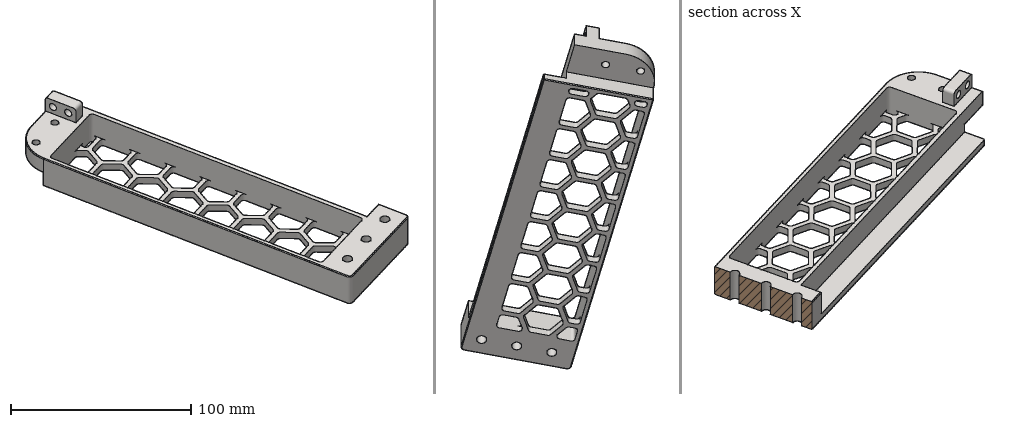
import cadquery as cq
import math

LENGTH = 220.0
WIDTH = 63.0
BODY_HEIGHT = 20.0
TOTAL_HEIGHT = 30.0

BODY_START = 20.0
TRAY_WIDTH = 50.0
BLOCK_START = 199.9
LEDGE_THICKNESS = 4.6
EDGE_CHAMFER = 0.53
END_CORNER_RADIUS = 2.5
TRAY_WALL = 2.6
POCKET_START = 22.9
POCKET_END = 199.5
POCKET_CORNER_RADIUS = 2.0

FLOOR_THICKNESS = LEDGE_THICKNESS
HEXAGON_SIDES = 6
HEXAGON_TURN = 180 / HEXAGON_SIDES
CELL_FLATS = 20.0
CELL_PITCH = 22.9
CELL_FILLET = POCKET_CORNER_RADIUS
MIDDLE_ROW_CELLS = 8
ROW_OFFSETS = (-1, 0, 1)
FIRST_CELL_X = 28.4
MIDDLE_ROW_Y = 22.9

EAR_BOTTOM = BODY_HEIGHT / 2
EAR_CORNER_RADIUS = 20.7
TAB_FRONT = 35.8
TAB_THICKNESS = 7.3
TAB_CORNER_RADIUS = 2.0

BLOCK_HOLE_COUNT = 3
BLOCK_HOLE_DIAMETER = 5.5
BLOCK_HOLE_SPACING = 20.0
BLOCK_HOLE_FIRST_Y = 13.0
EAR_HOLE_DIAMETER = 4.5
EAR_HOLE_X = 10.0
EAR_HOLE_YS = (10.0, 30.0)
TAB_HOLE_DIAMETER = 4.6
TAB_HOLE_SPACING = 10.0


def box(x0, x1, y0, y1, z0, z1):
    """Box given by its limits along each axis."""
    return cq.Workplane("XY").box(x1 - x0, y1 - y0, z1 - z0, centered=False).translate((x0, y0, z0))


def make_body():
    """Chamfered block with the space above the back ledge cut away."""
    body = box(BODY_START, LENGTH, 0, WIDTH, 0, BODY_HEIGHT)
    body = body.edges("|Z and >X").fillet(END_CORNER_RADIUS)
    body = body.edges("|Z and <X").chamfer(EDGE_CHAMFER)
    body = body.faces("<Z or >Z").edges().chamfer(EDGE_CHAMFER)
    above_ledge = box(BODY_START, BLOCK_START, TRAY_WIDTH, WIDTH, LEDGE_THICKNESS, BODY_HEIGHT)
    body = body.cut(above_ledge)
    block_edge = cq.selectors.BoxSelector(
        (BLOCK_START - EDGE_CHAMFER, TRAY_WIDTH, BODY_HEIGHT - EDGE_CHAMFER),
        (BLOCK_START + EDGE_CHAMFER, WIDTH, BODY_HEIGHT + EDGE_CHAMFER),
    )
    return body.edges(block_edge).edges("|Y").chamfer(EDGE_CHAMFER)


def make_ear():
    """Flat ear at the upper half of the body, with one large round corner."""
    ear = box(0, POCKET_START, 0, TRAY_WIDTH, EAR_BOTTOM, BODY_HEIGHT)
    ear = ear.edges("|Z and <X and <Y").fillet(EAR_CORNER_RADIUS)
    return ear.faces(">Z").edges("<X or <Y or %CIRCLE").chamfer(EDGE_CHAMFER)


def make_tab():
    """Upright tab on the ear with two cross holes."""
    tab = box(0, BODY_START, TAB_FRONT, TAB_FRONT + TAB_THICKNESS, EAR_BOTTOM, TOTAL_HEIGHT)
    tab = tab.edges("|Y and >Z").fillet(TAB_CORNER_RADIUS)
    hole_z = (BODY_HEIGHT + TOTAL_HEIGHT) / 2
    for side in (-1, 1):
        hole_x = (BODY_START + side * TAB_HOLE_SPACING) / 2
        hole = cq.Workplane("XZ", origin=(hole_x, WIDTH, hole_z)).circle(TAB_HOLE_DIAMETER / 2).extrude(WIDTH)
        tab = tab.cut(hole)
    return tab


def inside_of_tray(z0, z1):
    """Space between the tray walls, from one height to another."""
    return box(POCKET_START, POCKET_END, TRAY_WALL, TRAY_WIDTH - TRAY_WALL, z0, z1)


def make_pocket():
    """Open space above the honeycomb floor."""
    pocket = inside_of_tray(FLOOR_THICKNESS, BODY_HEIGHT)
    return pocket.edges("|Z").fillet(POCKET_CORNER_RADIUS)


def make_cells():
    """Hexagonal openings, trimmed by the tray walls, with rounded corners."""
    corner_diameter = CELL_FLATS * 2 / math.sqrt(3)
    row_spacing = CELL_PITCH * math.sqrt(3) / 2
    opening = inside_of_tray(0, FLOOR_THICKNESS)
    cells = cq.Workplane("XY")
    for row in ROW_OFFSETS:
        for column in range(MIDDLE_ROW_CELLS + abs(row)):
            x = FIRST_CELL_X + (column - abs(row) / 2) * CELL_PITCH
            y = MIDDLE_ROW_Y + row * row_spacing
            hexagon = (
                cq.Workplane("XY")
                .polygon(HEXAGON_SIDES, corner_diameter)
                .extrude(FLOOR_THICKNESS)
                .rotate((0, 0, 0), (0, 0, 1), HEXAGON_TURN)
                .translate((x, y, 0))
            )
            cell = hexagon.intersect(opening).edges("|Z").fillet(CELL_FILLET)
            cells = cells.add(cell)
    return cells.combine()


def drill(part, x, y, diameter):
    """Vertical hole through the full height of the body."""
    return part.cut(cq.Workplane("XY", origin=(x, y, 0)).circle(diameter / 2).extrude(BODY_HEIGHT))


result = make_body().union(make_ear()).cut(make_pocket())
result = result.cut(make_cells()).union(make_tab())
for hole_y in EAR_HOLE_YS:
    result = drill(result, EAR_HOLE_X, hole_y, EAR_HOLE_DIAMETER)
for index in range(BLOCK_HOLE_COUNT):
    hole_y = BLOCK_HOLE_FIRST_Y + index * BLOCK_HOLE_SPACING
    result = drill(result, (BLOCK_START + LENGTH) / 2, hole_y, BLOCK_HOLE_DIAMETER)